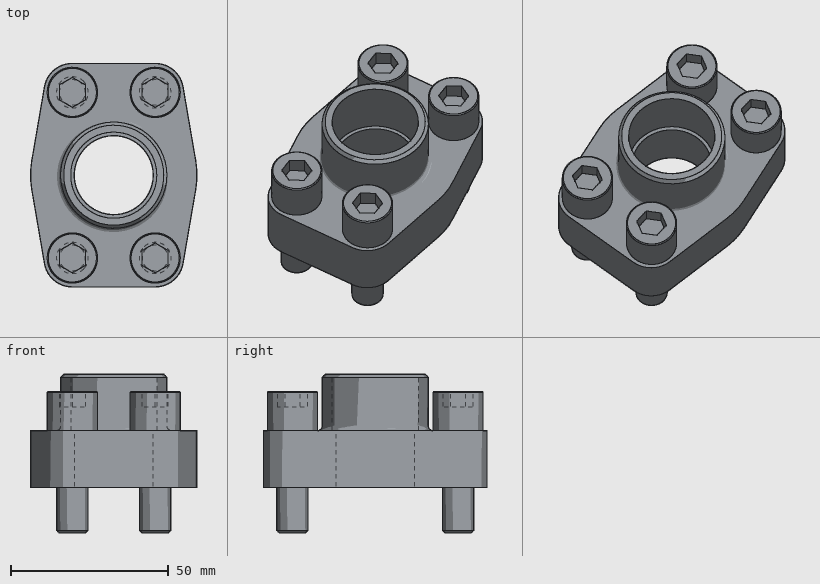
import cadquery as cq
import math

plate_length = 71.0
plate_width = 52.9
plate_thickness = 18.0
corner_radius = 9.0
side_radius = plate_width / 2

neck_diameter = 33.7
neck_height = 17.95
neck_chamfer = 1.0
neck_fillet = 1.55
bore_diameter = 25.0
socket_diameter = 27.3
socket_depth = neck_height

bolt_x = 13.1
bolt_y = 26.3
head_diameter = 16.0
head_height = 12.5
head_chamfer = 0.35
shank_diameter = 10.0
shank_chamfer = 0.9
shank_projection = 14.5
hex_across_flats = 8.25
hex_depth = 5.0

plate_top = plate_thickness
neck_top = plate_top + neck_height
head_top = plate_top + head_height


def make_plate():
    """Plate bounded by corner arcs and side arcs joined by tangent lines."""
    corner_x = bolt_x
    corner_y = plate_length / 2 - corner_radius
    spacing = math.hypot(corner_x, corner_y)
    radius_difference = side_radius - corner_radius
    tilt = math.atan2(corner_y, corner_x) - math.acos(radius_difference / spacing)

    def corner_point(angle):
        return (
            corner_x + corner_radius * math.cos(angle),
            corner_y + corner_radius * math.sin(angle),
        )

    side_x = side_radius * math.cos(tilt)
    side_y = side_radius * math.sin(tilt)
    end_x, end_y = corner_point(tilt)
    mid_x, mid_y = corner_point((tilt + math.pi / 2) / 2)
    half_length = plate_length / 2

    return (
        cq.Workplane("XY")
        .moveTo(side_x, -side_y)
        .threePointArc((side_radius, 0), (side_x, side_y))
        .lineTo(end_x, end_y)
        .threePointArc((mid_x, mid_y), (corner_x, half_length))
        .lineTo(-corner_x, half_length)
        .threePointArc((-mid_x, mid_y), (-end_x, end_y))
        .lineTo(-side_x, side_y)
        .threePointArc((-side_radius, 0), (-side_x, -side_y))
        .lineTo(-end_x, -end_y)
        .threePointArc((-mid_x, -mid_y), (-corner_x, -half_length))
        .lineTo(corner_x, -half_length)
        .threePointArc((mid_x, -mid_y), (end_x, -end_y))
        .close()
        .extrude(plate_thickness)
    )


def make_neck():
    """Revolved neck with a chamfered rim and a concave foot fillet."""
    radius = neck_diameter / 2
    foot_radius = radius + neck_fillet
    fillet_top = plate_top + neck_fillet
    diagonal = neck_fillet * (1 - math.sqrt(0.5))
    return (
        cq.Workplane("XZ")
        .moveTo(0, 0)
        .lineTo(foot_radius, 0)
        .lineTo(foot_radius, plate_top)
        .threePointArc((radius + diagonal, plate_top + diagonal), (radius, fillet_top))
        .lineTo(radius, neck_top - neck_chamfer)
        .lineTo(radius - neck_chamfer, neck_top)
        .lineTo(0, neck_top)
        .close()
        .revolve(360, (0, 0, 0), (0, 1, 0))
    )


def make_bolt():
    """Cap screw on the Z axis, with its head seated on the plate."""
    head = (
        cq.Workplane("XY")
        .workplane(offset=plate_top)
        .circle(head_diameter / 2)
        .extrude(head_height)
        .faces(">Z")
        .chamfer(head_chamfer)
    )
    shank = (
        cq.Workplane("XY")
        .workplane(offset=-shank_projection)
        .circle(shank_diameter / 2)
        .extrude(shank_projection + plate_top)
        .faces("<Z")
        .chamfer(shank_chamfer)
    )
    hex_across_corners = hex_across_flats / math.cos(math.pi / 6)
    hex_socket = (
        cq.Workplane("XY")
        .workplane(offset=head_top - hex_depth)
        .transformed(rotate=(0, 0, 90))
        .polygon(6, hex_across_corners)
        .extrude(hex_depth)
    )
    return head.union(shank).cut(hex_socket)


bore = cq.Workplane("XY").circle(bore_diameter / 2).extrude(neck_top)
socket = (
    cq.Workplane("XY")
    .workplane(offset=neck_top - socket_depth)
    .circle(socket_diameter / 2)
    .extrude(socket_depth)
)

result = make_plate().union(make_neck()).cut(bore).cut(socket)

bolt = make_bolt()
for x in (-bolt_x, bolt_x):
    for y in (-bolt_y, bolt_y):
        result = result.union(bolt.translate((x, y, 0)))